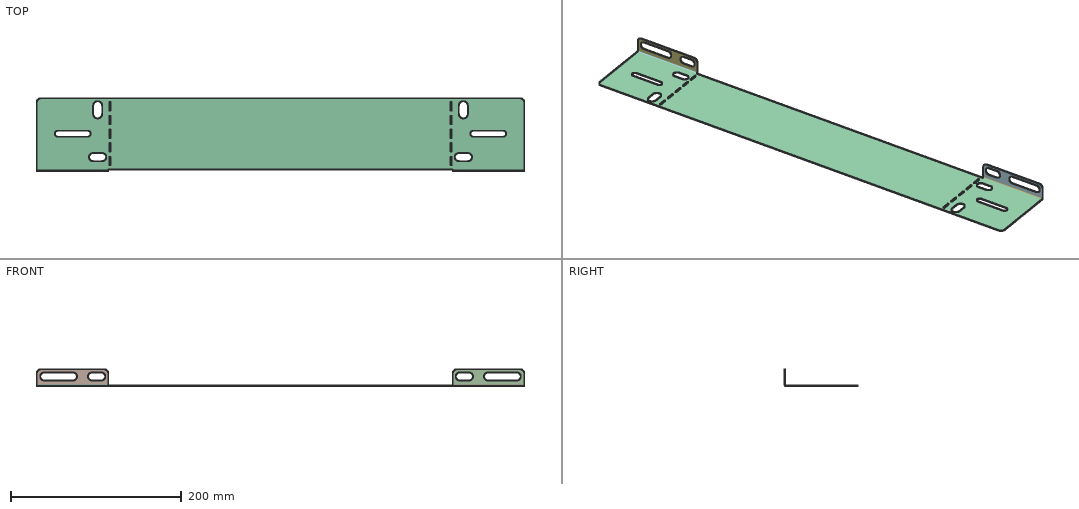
import cadquery as cq

length = 573.0
depth = 86.0
height = 20.0
sheet = 1.0
bend_inner_radius = 1.0
bend_outer_radius = bend_inner_radius + sheet

flange_length = 84.0
flange_corner_radius = 5.0
plate_corner_radius = 5.0

end_x = length / 2
back_y = depth / 2
front_y = -depth / 2
bend_y = front_y + bend_outer_radius

mount_slot_from_end = 71.5
mount_slot_length = 20.0
cross_slot_width = 10.5
cross_slot_from_back = 14.0
front_slot_width = 9.0
front_slot_from_front = 16.5
long_slot_from_end = 42.5
long_slot_from_back = 42.0
long_slot_length = 42.0
long_slot_width = 7.0

perforation_count = 5
perforation_pitch = 16.0
perforation_length = 10.0
perforation_width = 1.0
perforation_from_end = 86.0
perforation_row_from_back = 42.0

flange_slot_z = 11.5
flange_slot_width = 9.0
flange_long_slot_from_end = 26.0
flange_long_slot_length = 43.0
flange_short_slot_from_end = 70.5
flange_short_slot_length = 20.0


def make_plate():
    """Flat sheet behind the bend, with rounded back corners."""
    plate = cq.Workplane("XY").box(length, back_y - bend_y, sheet, centered=(True, False, False))
    plate = plate.translate((0, bend_y, 0))
    return plate.edges("|Z and >Y").fillet(plate_corner_radius)


def make_flange(side):
    """Quarter-round bend and upright flange at one end; side is -1 or 1."""
    corner_y = front_y + sheet
    middle_x = side * (end_x - flange_length / 2)
    flange = (
        cq.Workplane("YZ")
        .moveTo(bend_y, 0)
        .radiusArc((front_y, bend_outer_radius), bend_outer_radius)
        .lineTo(front_y, height)
        .lineTo(corner_y, height)
        .lineTo(corner_y, bend_outer_radius)
        .radiusArc((bend_y, sheet), -bend_inner_radius)
        .close()
        .extrude(flange_length / 2, both=True)
    )
    flange = flange.edges("|Y and >Z").fillet(flange_corner_radius)
    return flange.translate((middle_x, 0, 0))


def plate_slot(x, y, slot_length, slot_width, angle=0):
    """Round-ended cutter through the plate."""
    return (
        cq.Workplane("XY")
        .center(x, y)
        .slot2D(slot_length, slot_width, angle)
        .extrude(sheet)
    )


def flange_slot(x, slot_length):
    """Round-ended cutter through the flange."""
    return (
        cq.Workplane("XZ", origin=(0, front_y, 0))
        .center(x, flange_slot_z)
        .slot2D(slot_length, flange_slot_width)
        .extrude(-sheet)
    )


def end_cutters(side):
    """All slots and perforations at one end of the part."""
    mount_x = side * (end_x - mount_slot_from_end)
    cutters = [
        plate_slot(mount_x, back_y - cross_slot_from_back, mount_slot_length, cross_slot_width, 90),
        plate_slot(mount_x, front_y + front_slot_from_front, mount_slot_length, front_slot_width),
        plate_slot(
            side * (end_x - long_slot_from_end),
            back_y - long_slot_from_back,
            long_slot_length,
            long_slot_width,
        ),
        flange_slot(side * (end_x - flange_long_slot_from_end), flange_long_slot_length),
        flange_slot(side * (end_x - flange_short_slot_from_end), flange_short_slot_length),
    ]
    row_y = back_y - perforation_row_from_back
    for index in range(perforation_count):
        offset = (index - (perforation_count - 1) / 2) * perforation_pitch
        perforation = cq.Workplane("XY").box(
            perforation_width, perforation_length, sheet, centered=(True, True, False)
        )
        cutters.append(
            perforation.translate((side * (end_x - perforation_from_end), row_y + offset, 0))
        )
    return cutters


result = make_plate()
for end_side in (-1, 1):
    result = result.union(make_flange(end_side))
    for cutter in end_cutters(end_side):
        result = result.cut(cutter)